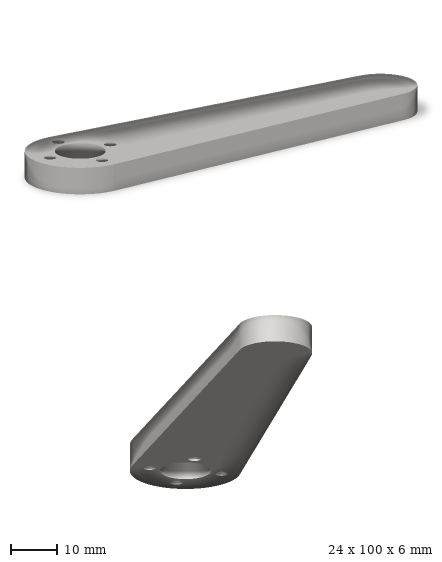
import cadquery as cq

thickness = 6.0
hub_radius = 12.0
tip_radius = 8.0
length = 100.0
tip_distance = length - hub_radius - tip_radius

bore_diameter = 11.0
bolt_diameter = 2.7
bolt_circle_radius = 8.0
bolt_count = 4


def arm_blank():
    """Tapered plate with a half-round hub at the origin and a half-round tip along +Y."""
    return (
        cq.Workplane("XY")
        .moveTo(-hub_radius, 0)
        .threePointArc((0, -hub_radius), (hub_radius, 0))
        .lineTo(tip_radius, tip_distance)
        .threePointArc((0, tip_distance + tip_radius), (-tip_radius, tip_distance))
        .close()
        .extrude(thickness)
    )


def hub_holes():
    """Central bore surrounded by evenly spaced bolt holes."""
    bore = cq.Workplane("XY").circle(bore_diameter / 2).extrude(thickness)
    bolts = (
        cq.Workplane("XY")
        .polarArray(bolt_circle_radius, 0, 360, bolt_count)
        .circle(bolt_diameter / 2)
        .extrude(thickness)
    )
    return bore.union(bolts)


result = arm_blank().cut(hub_holes())